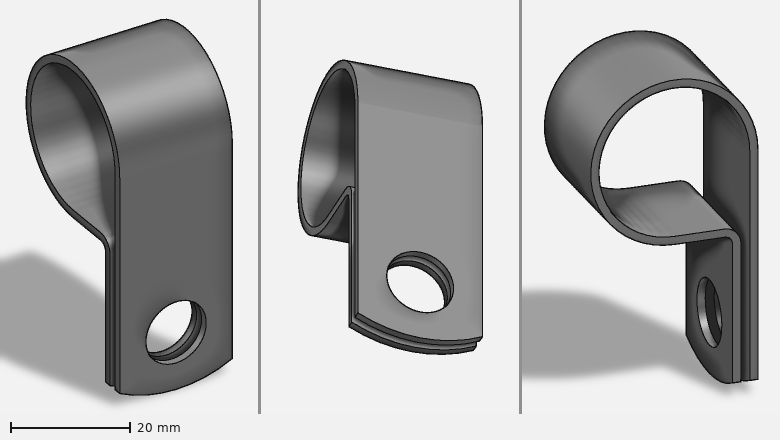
import cadquery as cq
import math

loop_diameter = 30.0
strap_thickness = 1.5
strap_width = 22.25
overall_height = 59.45
leg_gap = 1.6
bend_inner_radius = 1.5
hole_diameter = 11.9
end_radius = 24.95

loop_radius = loop_diameter / 2
bore_radius = loop_radius - strap_thickness
bend_outer_radius = bend_inner_radius + strap_thickness
leg_bottom = loop_radius - overall_height
short_leg_outer = bore_radius - leg_gap
short_leg_inner = short_leg_outer - strap_thickness
bend_x = short_leg_outer - bend_outer_radius
bend_z = -bore_radius - bend_outer_radius
hole_z = leg_bottom + strap_width / 2
diagonal = math.sqrt(0.5)


def make_strap():
    """Bent strap: long leg, three-quarter loop, shelf, bend and short leg."""
    profile = (
        cq.Workplane("XZ")
        .moveTo(loop_radius, leg_bottom)
        .lineTo(loop_radius, 0)
        .threePointArc((-loop_radius * diagonal, loop_radius * diagonal), (0, -loop_radius))
        .lineTo(bend_x, -loop_radius)
        .threePointArc(
            (bend_x + bend_inner_radius * diagonal, bend_z + bend_inner_radius * diagonal),
            (short_leg_inner, bend_z),
        )
        .lineTo(short_leg_inner, leg_bottom)
        .lineTo(short_leg_outer, leg_bottom)
        .lineTo(short_leg_outer, bend_z)
        .threePointArc(
            (bend_x + bend_outer_radius * diagonal, bend_z + bend_outer_radius * diagonal),
            (bend_x, -bore_radius),
        )
        .lineTo(0, -bore_radius)
        .threePointArc((-bore_radius * diagonal, bore_radius * diagonal), (bore_radius, 0))
        .lineTo(bore_radius, leg_bottom)
        .close()
    )
    return profile.extrude(strap_width / 2, both=True)


def make_side_outline():
    """Blank across both legs, with a rounded lower edge, wider than the strap in X."""
    half_width = strap_width / 2
    end_rise = end_radius - math.sqrt(end_radius**2 - half_width**2)
    return (
        cq.Workplane("YZ")
        .moveTo(-half_width, loop_radius)
        .lineTo(-half_width, leg_bottom + end_rise)
        .threePointArc((0, leg_bottom), (half_width, leg_bottom + end_rise))
        .lineTo(half_width, loop_radius)
        .close()
        .extrude(loop_diameter, both=True)
    )


def make_bolt_hole():
    """Cutter that passes through both legs."""
    return (
        cq.Workplane("YZ")
        .center(0, hole_z)
        .circle(hole_diameter / 2)
        .extrude(loop_diameter, both=True)
    )


result = make_strap().intersect(make_side_outline()).cut(make_bolt_hole())